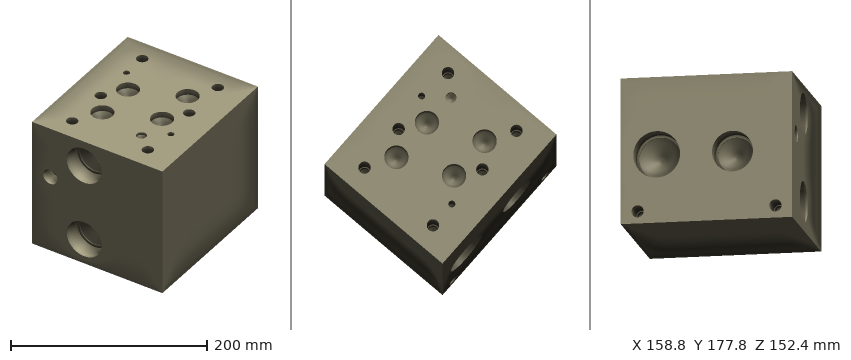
import cadquery as cq
import math

WIDTH = 158.75
DEPTH = 177.8
HEIGHT = 152.4

DOWN = cq.Vector(0, 0, -1)
BACK = cq.Vector(0, 1, 0)
RIGHT = cq.Vector(1, 0, 0)

DRILL_POINT_ANGLE = 118.0

BOLT_SPAN_X = 92.1
BOLT_SPAN_Y = 130.2
PATTERN_X = (WIDTH - BOLT_SPAN_X) / 2
PATTERN_Y = (DEPTH - BOLT_SPAN_Y) / 2

BOLT_DIAMETER = 12.7
BOLT_TAP_DRILL = 10.72
BOLT_THREAD_DEPTH = 25.4
BOLT_DRILL_DEPTH = 31.75

VALVE_PORT_DIAMETER = 24.61
VALVE_PORT_DEPTH = 7.1
VALVE_COLUMN_LEFT = 17.5
VALVE_COLUMN_RIGHT = 74.6
VALVE_T_Y = 29.4
VALVE_A_Y = 53.2
VALVE_P_Y = 77.0
VALVE_B_Y = 100.8

PILOT_DIAMETER = 11.11
PILOT_DEPTH = 3.2
PILOT_X = 73.0
PILOT_Y = 17.46

PIN_DIAMETER = 7.14
PIN_DEPTH = 15.0
RIGHT_PIN_X = BOLT_SPAN_X + 4.7
RIGHT_PIN_Y = 35.7
LEFT_PIN_Y = VALVE_B_Y

LARGE_PORT_DIAMETER = 48.56
LARGE_PORT_DRILL = 43.64
MEDIUM_PORT_DIAMETER = 42.47
MEDIUM_PORT_DRILL = 36.91
SMALL_PORT_DIAMETER = 17.3
SMALL_PORT_DRILL = 14.3
PORT_THREAD_DEPTH = 19.45
PORT_DRILL_DEPTH = 20.5
SMALL_THREAD_DEPTH = 15.0
SMALL_DRILL_DEPTH = 20.0

FRONT_PORT_X = 63.5
FRONT_PORT_EDGE = 30.16
Y_PORT_X = 22.225
Y_PORT_Z = 92.075

SIDE_PORT_Z = 71.44
P_PORT_Y = 61.91
T_PORT_Y = 140.49
MOUNT_EDGE_Y = 17.46
MOUNT_Z = 12.7


def drilled_hole(start, direction, diameter, depth):
    """Round hole with the given full-diameter depth, ending in a drill point."""
    radius = diameter / 2
    point_length = radius / math.tan(math.radians(DRILL_POINT_ANGLE / 2))
    bore = cq.Solid.makeCylinder(radius, depth, start, direction)
    point = cq.Solid.makeCone(radius, 0, point_length, start + direction * depth, direction)
    return bore.fuse(point)


def tapped_hole(start, direction, bore_diameter, drill_diameter, bore_depth, drill_depth):
    """Straight thread bore over a narrower and deeper tap drill."""
    bore = cq.Solid.makeCylinder(bore_diameter / 2, bore_depth, start, direction)
    return bore.fuse(drilled_hole(start, direction, drill_diameter, drill_depth))


def bolt_hole(start, direction):
    return tapped_hole(
        start, direction, BOLT_DIAMETER, BOLT_TAP_DRILL, BOLT_THREAD_DEPTH, BOLT_DRILL_DEPTH
    )


def pipe_port(start, direction, bore_diameter, drill_diameter):
    return tapped_hole(
        start, direction, bore_diameter, drill_diameter, PORT_THREAD_DEPTH, PORT_DRILL_DEPTH
    )


def on_pattern(x, y):
    """Point on the top face, given in valve pattern coordinates."""
    return cq.Vector(PATTERN_X + x, PATTERN_Y + y, HEIGHT)


def valve_bolt_holes():
    left = [(0, y) for y in (0, VALVE_A_Y, BOLT_SPAN_Y)]
    right = [(BOLT_SPAN_X, y) for y in (0, VALVE_P_Y, BOLT_SPAN_Y)]
    return [bolt_hole(on_pattern(x, y), DOWN) for x, y in left + right]


def valve_passages():
    left = [(VALVE_COLUMN_LEFT, y) for y in (VALVE_T_Y, VALVE_P_Y)]
    right = [(VALVE_COLUMN_RIGHT, y) for y in (VALVE_A_Y, VALVE_B_Y)]
    passages = [
        drilled_hole(on_pattern(x, y), DOWN, VALVE_PORT_DIAMETER, VALVE_PORT_DEPTH)
        for x, y in left + right
    ]
    pilot = drilled_hole(on_pattern(PILOT_X, PILOT_Y), DOWN, PILOT_DIAMETER, PILOT_DEPTH)
    return passages + [pilot]


def pin_holes():
    places = [(0, LEFT_PIN_Y), (RIGHT_PIN_X, RIGHT_PIN_Y)]
    return [drilled_hole(on_pattern(x, y), DOWN, PIN_DIAMETER, PIN_DEPTH) for x, y in places]


def front_ports():
    ports = []
    for z in (FRONT_PORT_EDGE, HEIGHT - FRONT_PORT_EDGE):
        start = cq.Vector(FRONT_PORT_X, 0, z)
        ports.append(pipe_port(start, BACK, MEDIUM_PORT_DIAMETER, MEDIUM_PORT_DRILL))
    y_port = tapped_hole(
        cq.Vector(Y_PORT_X, 0, Y_PORT_Z),
        BACK,
        SMALL_PORT_DIAMETER,
        SMALL_PORT_DRILL,
        SMALL_THREAD_DEPTH,
        SMALL_DRILL_DEPTH,
    )
    return ports + [y_port]


def left_ports():
    p_start = cq.Vector(0, P_PORT_Y, SIDE_PORT_Z)
    t_start = cq.Vector(0, T_PORT_Y, SIDE_PORT_Z)
    return [
        pipe_port(p_start, RIGHT, MEDIUM_PORT_DIAMETER, MEDIUM_PORT_DRILL),
        pipe_port(t_start, RIGHT, LARGE_PORT_DIAMETER, LARGE_PORT_DRILL),
    ]


def mounting_holes():
    return [
        bolt_hole(cq.Vector(0, y, MOUNT_Z), RIGHT)
        for y in (MOUNT_EDGE_Y, DEPTH - MOUNT_EDGE_Y)
    ]


holes = (
    valve_bolt_holes()
    + valve_passages()
    + pin_holes()
    + front_ports()
    + left_ports()
    + mounting_holes()
)

result = cq.Workplane("XY").box(WIDTH, DEPTH, HEIGHT, centered=False)
for hole in holes:
    result = result.cut(cq.Workplane(hole))